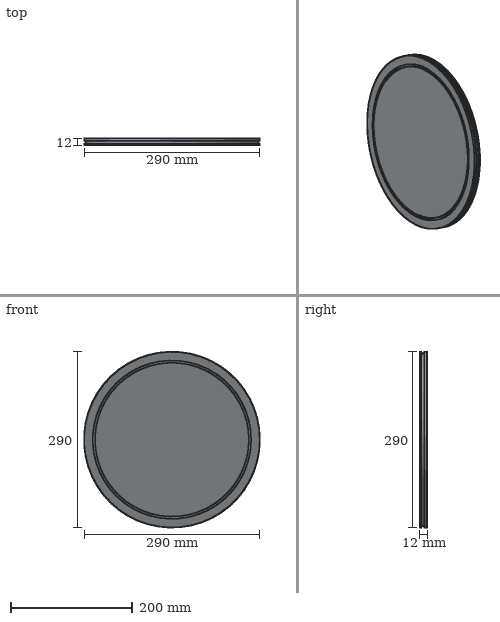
import cadquery as cq

outer_radius = 145.0
thickness = 12.0

ring_outer_radius = 130.5
ring_inner_radius = 126.7
ring_depth = 3.0

groove_front = -3.5
groove_back = 1.2
groove_shoulder_radius = 143.5
groove_root_radius = 142.5

front_face = -thickness / 2
back_face = thickness / 2
groove_middle = (groove_front + groove_back) / 2

half_section = (
    cq.Workplane("XY")
    .moveTo(0, front_face)
    .lineTo(outer_radius, front_face)
    .lineTo(outer_radius, groove_front)
    .lineTo(groove_shoulder_radius, groove_front)
    .threePointArc((groove_root_radius, groove_middle), (groove_shoulder_radius, groove_back))
    .lineTo(outer_radius, groove_back)
    .lineTo(outer_radius, back_face)
    .lineTo(0, back_face)
    .close()
)
disc = half_section.revolve(360, (0, 0, 0), (0, 1, 0))


def ring_cut(start_y):
    """Ring of material, ring_depth thick, starting at start_y and growing towards +Y."""
    return (
        cq.Workplane("XZ", origin=(0, start_y, 0))
        .circle(ring_outer_radius)
        .circle(ring_inner_radius)
        .extrude(-ring_depth)
    )


result = disc.cut(ring_cut(front_face)).cut(ring_cut(back_face - ring_depth))